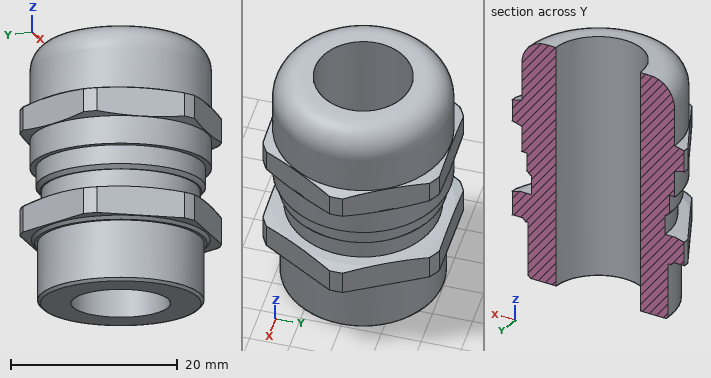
import cadquery as cq
import math

FULL_TURN = 360
HEX_SIDES = 6

total_height = 32.39
thread_length = 7.5
flange_height = 0.4
hex_height = 3.55
neck_height = 2.55
collar_bevel_height = 0.5
collar_height = 2.35
nut_skirt_height = 3.45

thread_diameter = 20.0
flange_bottom_diameter = 20.7
flange_top_diameter = 21.5
neck_diameter = 19.1
collar_diameter = 20.4
nut_diameter = 21.8
bore_diameter = 12.0

thread_chamfer = 0.35
dome_radius = 3.5

hex_across_flats = 22.0
hex_corner_diameter = 24.5
hex_bevel_angle = 15.0

flange_z = thread_length
body_hex_z = flange_z + flange_height
neck_z = body_hex_z + hex_height
collar_bevel_z = neck_z + neck_height
collar_z = collar_bevel_z + collar_bevel_height
nut_skirt_z = collar_z + collar_height
nut_hex_z = nut_skirt_z + nut_skirt_height


def make_turned_body():
    """Revolve the outer profile of the whole gland about Z, without the hexagons."""
    thread_r = thread_diameter / 2
    neck_r = neck_diameter / 2
    collar_r = collar_diameter / 2
    nut_r = nut_diameter / 2
    dome_z = total_height - dome_radius
    dome_inner_r = nut_r - dome_radius
    arc_offset = dome_radius * math.cos(math.pi / 4)
    profile = (
        cq.Workplane("XZ")
        .moveTo(0, 0)
        .lineTo(thread_r - thread_chamfer, 0)
        .lineTo(thread_r, thread_chamfer)
        .lineTo(thread_r, flange_z)
        .lineTo(flange_bottom_diameter / 2, flange_z)
        .lineTo(flange_top_diameter / 2, body_hex_z)
        .lineTo(neck_r, body_hex_z)
        .lineTo(neck_r, collar_bevel_z)
        .lineTo(collar_r - collar_bevel_height, collar_bevel_z)
        .lineTo(collar_r, collar_z)
        .lineTo(collar_r, nut_skirt_z)
        .lineTo(nut_r, nut_skirt_z)
        .lineTo(nut_r, dome_z)
        .threePointArc(
            (dome_inner_r + arc_offset, dome_z + arc_offset),
            (dome_inner_r, total_height),
        )
        .lineTo(0, total_height)
        .close()
    )
    return profile.revolve(FULL_TURN, (0, 0, 0), (0, 1, 0))


def make_hexagon(base_z, bevel_bottom):
    """Hexagon with rounded corners, a conical bevel on top and optionally one below."""
    flat_r = hex_across_flats / 2
    corner_r = hex_corner_diameter / 2
    bevel_height = (corner_r - flat_r) * math.tan(math.radians(hex_bevel_angle))
    top_z = base_z + hex_height
    across_corners = hex_across_flats / math.cos(math.pi / HEX_SIDES)
    prism = (
        cq.Workplane("XY")
        .workplane(offset=base_z)
        .polygon(HEX_SIDES, across_corners)
        .extrude(hex_height)
    )
    envelope = cq.Workplane("XZ").moveTo(0, base_z)
    if bevel_bottom:
        envelope = envelope.lineTo(flat_r, base_z).lineTo(corner_r, base_z + bevel_height)
    else:
        envelope = envelope.lineTo(corner_r, base_z)
    envelope = (
        envelope.lineTo(corner_r, top_z - bevel_height)
        .lineTo(flat_r, top_z)
        .lineTo(0, top_z)
        .close()
        .revolve(FULL_TURN, (0, 0, 0), (0, 1, 0))
    )
    return prism.intersect(envelope)


def make_bore():
    """Straight passage through the full height."""
    return cq.Workplane("XY").circle(bore_diameter / 2).extrude(total_height)


body_hexagon = make_hexagon(body_hex_z, bevel_bottom=False)
nut_hexagon = make_hexagon(nut_hex_z, bevel_bottom=True)
result = make_turned_body().union(body_hexagon).union(nut_hexagon).cut(make_bore())